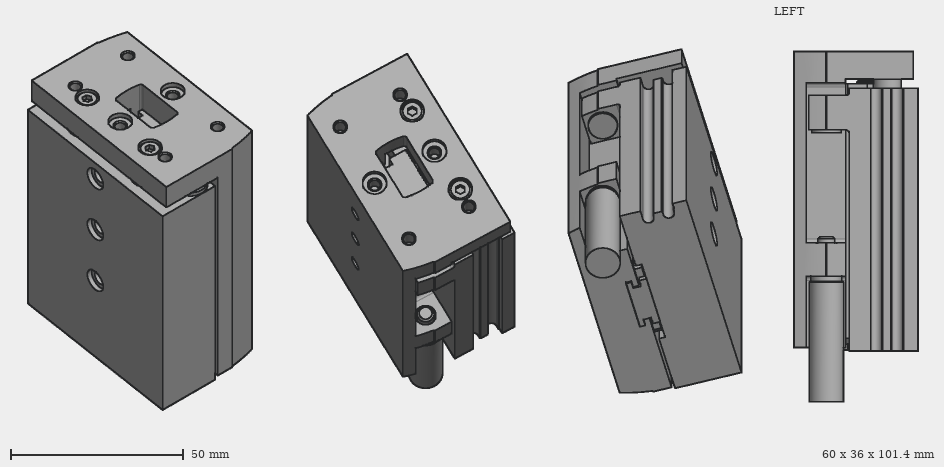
import cadquery as cq
import math

WIDTH = 60.0
HALF_WIDTH = WIDTH / 2
DEPTH = 36.0

HOUSING_HEIGHT = 76.0
HOUSING_DEPTH = 20.0
MOUNT_HOLE_PITCH = 20.0
MOUNT_HOLE_LOWEST = 29.9
MOUNT_HOLE_DIAMETER = 4.2
COUNTERBORE_DIAMETER = 7.0
COUNTERBORE_DEPTH = 1.6

GROOVE_RECESS_FRONT = 4.2
GROOVE_RECESS_BACK = 13.8
GROOVE_RECESS_DEPTH = 1.7
GROOVE_DIAMETER = 3.2
GROOVE_AXIS_DEPTH = 2.8
GROOVE_FRONT_STEP = 0.3
GROOVE_LAND_CHAMFER = 0.3

RAIL_HALF_WIDTH = 7.5
RAIL_FRONT = 14.8
RAIL_BACK = 24.3
RAIL_BOTTOM = 0.3
RAIL_TOP = HOUSING_HEIGHT + 1.3
RAIL_NOTCH_FRONT = 20.4
RAIL_NOTCH_BACK = 22.7
RAIL_NOTCH_HALF_WIDTH = 5.5
CHANNEL_HALF_WIDTH = 12.7
CHANNEL_FLOOR = 18.2

SLIDE_BOTTOM = 1.0
SLIDE_TOP = 86.7
SLIDE_FRONT = HOUSING_DEPTH + 1.0
PLATE_THICKNESS = 8.0
PLATE_FRONT = 1.4
PLATE_BOTTOM = SLIDE_TOP - PLATE_THICKNESS
SIDE_STEP_Y = 26.5
SIDE_STEP_RISE = 0.3
SIDE_STEP_WIDTH = 0.3
SIDE_BULGE_X = 28.9
SIDE_BULGE_Y = 31.7
BACK_HALF_WIDTH = 27.8

RIDGE_FRONT = 18.8
RIDGE_HALF_WIDTH = 12.2
RIDGE_BOTTOM = 2.0
RIDGE_CHAMFER = 1.6

WINDOW_FRONT = 14.5
WINDOW_BACK = 24.6
WINDOW_END_HALF_WIDTH = 8.2
WINDOW_MIDDLE_HALF_WIDTH = 8.8
WINDOW_FLOOR = 71.0
WINDOW_FILLET = 0.8

POCKET_INNER_X = -18.3
POCKET_BACK = 32.3
POCKET_TOP = 77.7
BLOCK_TOP = 31.3
BLOCK_BOTTOM = 21.7
POCKET_FILLET = 1.2

ARM_INNER_X = POCKET_INNER_X - 1.0
ARM_BACK = 31.6
ARM_BOTTOM = 64.0
ARM_TOP = 74.0
ARM_FILLET = 1.0
BUMPER_DIAMETER = 8.5
BUMPER_THICKNESS = 0.8

PLATE_HOLE_PITCH = 20.0
PLATE_HOLE_FRONT_Y = 9.5
PLATE_HOLE_DIAMETER = 3.2
PLATE_HOLE_CHAMFER = 0.4
PLATE_HOLE_DEPTH = 7.0

ROD_X = 14.0
ROD_Y = 8.9
ROD_DIAMETER = 8.1
ROD_BOTTOM = 25.4
ROD_MOUTH_DIAMETER = 12.0
ROD_MOUTH_DEPTH = 3.0
NECK_DIAMETER = 5.0
HEAD_DIAMETER = 6.7
HEAD_HEIGHT = 2.5
HEAD_CHAMFER = 0.6
HEAD_RECESS = 0.4
HEAD_POCKET_DIAMETER = 6.9
SOCKET_WIDTH = 2.5
SOCKET_DEPTH = 1.5

SHOCK_X = -24.5
SHOCK_Y = 26.6
SHOCK_BODY_DIAMETER = 10.0
SHOCK_BODY_CHAMFER = 0.3
SHOCK_BOTTOM = SLIDE_TOP - 101.4
SHOCK_BODY_TOP = 20.2
SHOCK_NECK_DIAMETER = 9.0
SHOCK_NECK_TOP = BLOCK_TOP - 3.0
PLUNGER_DIAMETER = 5.0
PLUNGER_HOLE_DIAMETER = 6.0
PLUNGER_CHAMFER = 0.6
PLUNGER_RISE = 1.7

STOP_X = 24.8
STOP_Y = 15.0
STOP_HEAD_DIAMETER = 10.0
STOP_HEAD_HEIGHT = 1.3
STOP_TIP_DIAMETER = 5.5
STOP_TIP_HEIGHT = 0.8
STOP_TIP_CHAMFER = 0.4
STOP_SHANK_DIAMETER = 6.0
STOP_SHANK_LENGTH = 10.1


def block(x_range, y_range, z_range):
    """Axis-aligned box between the given limits."""
    size = [high - low for low, high in (x_range, y_range, z_range)]
    return cq.Workplane("XY").box(*size, centered=False).translate((x_range[0], y_range[0], z_range[0]))


def upright_cylinder(x, y, diameter, bottom, top):
    """Cylinder along Z."""
    return cq.Workplane("XY", origin=(x, y, bottom)).circle(diameter / 2).extrude(top - bottom)


def slide_outline(front):
    """Plan outline with square front corners and curved, stepped rear sides."""
    shoulder = HALF_WIDTH - SIDE_STEP_WIDTH
    shoulder_y = SIDE_STEP_Y + SIDE_STEP_RISE
    return (
        cq.Workplane("XY")
        .moveTo(-HALF_WIDTH, front)
        .lineTo(HALF_WIDTH, front)
        .lineTo(HALF_WIDTH, SIDE_STEP_Y)
        .lineTo(shoulder, shoulder_y)
        .threePointArc((SIDE_BULGE_X, SIDE_BULGE_Y), (BACK_HALF_WIDTH, DEPTH))
        .lineTo(-BACK_HALF_WIDTH, DEPTH)
        .threePointArc((-SIDE_BULGE_X, SIDE_BULGE_Y), (-shoulder, shoulder_y))
        .lineTo(-HALF_WIDTH, SIDE_STEP_Y)
        .close()
    )


def rail_bar():
    """Guide rail with a square running groove along each side."""
    bar = block((-RAIL_HALF_WIDTH, RAIL_HALF_WIDTH), (RAIL_FRONT, RAIL_BACK), (RAIL_BOTTOM, RAIL_TOP))
    for inner, outer in (
        (RAIL_NOTCH_HALF_WIDTH, RAIL_HALF_WIDTH),
        (-RAIL_HALF_WIDTH, -RAIL_NOTCH_HALF_WIDTH),
    ):
        bar = bar.cut(block((inner, outer), (RAIL_NOTCH_FRONT, RAIL_NOTCH_BACK), (RAIL_BOTTOM, RAIL_TOP)))
    return bar


def mount_holes(counterbored):
    """Cutters for the row of holes through the whole part along Y."""
    cutters = cq.Workplane("XZ")
    for index in range(3):
        height = MOUNT_HOLE_LOWEST + index * MOUNT_HOLE_PITCH
        start = cq.Workplane("XZ", origin=(0, 0, height))
        cutters = cutters.add(start.circle(MOUNT_HOLE_DIAMETER / 2).extrude(-DEPTH))
        if counterbored:
            cutters = cutters.add(start.circle(COUNTERBORE_DIAMETER / 2).extrude(-COUNTERBORE_DEPTH))
    return cutters.combine()


def sensor_grooves():
    """Cutter for a shallow recess with two round-bottomed grooves, leaving a chamfered land between them."""
    side_x = -HALF_WIDTH
    recess_x = side_x + GROOVE_RECESS_DEPTH
    axis_x = side_x + GROOVE_AXIS_DEPTH
    radius = GROOVE_DIAMETER / 2
    floor_x = axis_x + radius
    chamfer_x = recess_x + GROOVE_LAND_CHAMFER
    front_groove = GROOVE_RECESS_FRONT + GROOVE_FRONT_STEP
    land_front = front_groove + GROOVE_DIAMETER
    land_back = GROOVE_RECESS_BACK - GROOVE_DIAMETER
    return (
        cq.Workplane("XY")
        .moveTo(side_x, GROOVE_RECESS_FRONT)
        .lineTo(recess_x, GROOVE_RECESS_FRONT)
        .lineTo(recess_x, front_groove)
        .lineTo(axis_x, front_groove)
        .threePointArc((floor_x, front_groove + radius), (axis_x, land_front))
        .lineTo(chamfer_x, land_front)
        .lineTo(recess_x, land_front + GROOVE_LAND_CHAMFER)
        .lineTo(recess_x, land_back - GROOVE_LAND_CHAMFER)
        .lineTo(chamfer_x, land_back)
        .lineTo(axis_x, land_back)
        .threePointArc((floor_x, land_back + radius), (axis_x, GROOVE_RECESS_BACK))
        .lineTo(side_x, GROOVE_RECESS_BACK)
        .close()
        .extrude(HOUSING_HEIGHT)
    )


def stop_arm():
    """Arm that follows the slide's side curve, with a round bumper below and filleted roots."""
    arm = slide_outline(HOUSING_DEPTH).extrude(ARM_TOP - ARM_BOTTOM).translate((0, 0, ARM_BOTTOM))
    arm = arm.intersect(
        block((-HALF_WIDTH, ARM_INNER_X), (HOUSING_DEPTH, ARM_BACK), (ARM_BOTTOM, ARM_TOP))
    )
    for level, direction in ((ARM_TOP, 1), (ARM_BOTTOM, -1)):
        root = (
            cq.Workplane("YZ", origin=(-HALF_WIDTH, 0, 0))
            .moveTo(HOUSING_DEPTH, level)
            .lineTo(HOUSING_DEPTH + ARM_FILLET, level)
            .radiusArc((HOUSING_DEPTH, level + direction * ARM_FILLET), direction * ARM_FILLET)
            .close()
            .extrude(HALF_WIDTH + ARM_INNER_X)
        )
        arm = arm.union(root)
    bumper = upright_cylinder(SHOCK_X, SHOCK_Y, BUMPER_DIAMETER, ARM_BOTTOM - BUMPER_THICKNESS, ARM_BOTTOM)
    return arm.union(bumper)


def make_housing():
    body = block((-HALF_WIDTH, HALF_WIDTH), (0, HOUSING_DEPTH), (0, HOUSING_HEIGHT))
    body = body.cut(
        block((-CHANNEL_HALF_WIDTH, CHANNEL_HALF_WIDTH), (CHANNEL_FLOOR, HOUSING_DEPTH), (0, HOUSING_HEIGHT))
    )
    body = body.union(rail_bar()).union(stop_arm()).cut(sensor_grooves())
    for side in (-1, 1):
        x = side * ROD_X
        mouth_bottom = HOUSING_HEIGHT - ROD_MOUTH_DEPTH
        body = body.cut(upright_cylinder(x, ROD_Y, ROD_DIAMETER, ROD_BOTTOM, HOUSING_HEIGHT))
        body = body.cut(upright_cylinder(x, ROD_Y, ROD_MOUTH_DIAMETER, mouth_bottom, HOUSING_HEIGHT))
    shank_bottom = HOUSING_HEIGHT - STOP_SHANK_LENGTH
    body = body.cut(upright_cylinder(STOP_X, STOP_Y, STOP_SHANK_DIAMETER, shank_bottom, HOUSING_HEIGHT))
    return body.cut(mount_holes(counterbored=True))


def slide_pockets():
    """Cutters for the two left-hand pockets, rounded where they meet the middle of the slide."""
    depth = (SLIDE_FRONT, POCKET_BACK)
    upper = block((-HALF_WIDTH, POCKET_INNER_X), depth, (BLOCK_TOP, POCKET_TOP))
    upper = upper.edges("|Y and >X").fillet(POCKET_FILLET)
    lower = block((-HALF_WIDTH, POCKET_INNER_X), depth, (SLIDE_BOTTOM, BLOCK_BOTTOM))
    lower = lower.edges("|Y and >X and >Z").fillet(POCKET_FILLET)
    return upper.union(lower)


def plate_window():
    """Cutter for the window with bulging sides and rounded corners."""
    middle_y = (WINDOW_FRONT + WINDOW_BACK) / 2
    end = WINDOW_END_HALF_WIDTH
    return (
        cq.Workplane("XY", origin=(0, 0, WINDOW_FLOOR))
        .moveTo(-end, WINDOW_FRONT)
        .lineTo(end, WINDOW_FRONT)
        .threePointArc((WINDOW_MIDDLE_HALF_WIDTH, middle_y), (end, WINDOW_BACK))
        .lineTo(-end, WINDOW_BACK)
        .threePointArc((-WINDOW_MIDDLE_HALF_WIDTH, middle_y), (-end, WINDOW_FRONT))
        .close()
        .extrude(SLIDE_TOP - WINDOW_FLOOR)
        .edges("|Z")
        .fillet(WINDOW_FILLET)
    )


def cut_plate_holes(body):
    """Two rows of three chamfered blind holes; the middle one of each row is counterbored."""
    for column in (-1, 0, 1):
        for row in (0, 1):
            x = column * PLATE_HOLE_PITCH
            y = PLATE_HOLE_FRONT_Y + row * PLATE_HOLE_PITCH
            mouth = SLIDE_TOP
            if column == 0:
                mouth = SLIDE_TOP - COUNTERBORE_DEPTH
                body = body.cut(upright_cylinder(x, y, COUNTERBORE_DIAMETER, mouth, SLIDE_TOP))
            body = body.cut(upright_cylinder(x, y, PLATE_HOLE_DIAMETER, SLIDE_TOP - PLATE_HOLE_DEPTH, mouth))
            cone = cq.Solid.makeCone(
                PLATE_HOLE_DIAMETER / 2,
                PLATE_HOLE_DIAMETER / 2 + PLATE_HOLE_CHAMFER,
                PLATE_HOLE_CHAMFER,
                pnt=cq.Vector(x, y, mouth - PLATE_HOLE_CHAMFER),
            )
            body = body.cut(cq.Workplane(cone))
    return body


def make_slide():
    slab = slide_outline(SLIDE_FRONT).extrude(SLIDE_TOP - SLIDE_BOTTOM).translate((0, 0, SLIDE_BOTTOM))
    plate = slide_outline(PLATE_FRONT).extrude(PLATE_THICKNESS).translate((0, 0, PLATE_BOTTOM))
    ridge = block(
        (-RIDGE_HALF_WIDTH, RIDGE_HALF_WIDTH),
        (RIDGE_FRONT, SLIDE_FRONT),
        (RIDGE_BOTTOM, WINDOW_FLOOR),
    )
    ridge = ridge.edges("|Y and <Z").chamfer(RIDGE_CHAMFER)
    body = slab.union(plate).union(ridge)
    body = body.cut(slide_pockets()).cut(plate_window()).cut(rail_bar())
    body = body.cut(upright_cylinder(SHOCK_X, SHOCK_Y, SHOCK_NECK_DIAMETER, BLOCK_BOTTOM, SHOCK_NECK_TOP))
    body = body.cut(upright_cylinder(SHOCK_X, SHOCK_Y, PLUNGER_HOLE_DIAMETER, SHOCK_NECK_TOP, BLOCK_TOP))
    head_seat = SLIDE_TOP - HEAD_RECESS - HEAD_HEIGHT
    for side in (-1, 1):
        x = side * ROD_X
        body = body.cut(upright_cylinder(x, ROD_Y, NECK_DIAMETER, PLATE_BOTTOM, head_seat))
        body = body.cut(upright_cylinder(x, ROD_Y, HEAD_POCKET_DIAMETER, head_seat, SLIDE_TOP))
    return cut_plate_holes(body).cut(mount_holes(counterbored=False))


def make_piston_rod(x):
    """Rod with a neck through the end plate and a hexagon-socket head in it."""
    head_top = SLIDE_TOP - HEAD_RECESS
    head_seat = head_top - HEAD_HEIGHT
    rod = upright_cylinder(x, ROD_Y, ROD_DIAMETER, ROD_BOTTOM, PLATE_BOTTOM)
    neck = upright_cylinder(x, ROD_Y, NECK_DIAMETER, PLATE_BOTTOM, head_seat)
    head = upright_cylinder(x, ROD_Y, HEAD_DIAMETER, head_seat, head_top)
    head = head.faces(">Z").chamfer(HEAD_CHAMFER)
    socket = (
        cq.Workplane("XY", origin=(x, ROD_Y, head_top))
        .polygon(6, SOCKET_WIDTH / math.cos(math.pi / 6))
        .extrude(-SOCKET_DEPTH)
        .rotate((x, ROD_Y, 0), (x, ROD_Y, 1), 30)
    )
    return rod.union(neck).union(head).cut(socket)


def make_shock_absorber():
    """Cylinder hanging below the block, with its plunger standing out of the block's top."""
    body = upright_cylinder(SHOCK_X, SHOCK_Y, SHOCK_BODY_DIAMETER, SHOCK_BOTTOM, SHOCK_BODY_TOP)
    body = body.faces(">Z").chamfer(SHOCK_BODY_CHAMFER)
    neck = upright_cylinder(SHOCK_X, SHOCK_Y, SHOCK_NECK_DIAMETER, SHOCK_BODY_TOP, SHOCK_NECK_TOP)
    plunger = upright_cylinder(SHOCK_X, SHOCK_Y, PLUNGER_DIAMETER, SHOCK_NECK_TOP, BLOCK_TOP + PLUNGER_RISE)
    return body.union(neck).union(plunger.faces(">Z").chamfer(PLUNGER_CHAMFER))


def make_stop_screw():
    """Round-headed screw in the housing's upper end, with a chamfered tip on the head."""
    head_top = HOUSING_HEIGHT + STOP_HEAD_HEIGHT
    shank = upright_cylinder(
        STOP_X, STOP_Y, STOP_SHANK_DIAMETER, HOUSING_HEIGHT - STOP_SHANK_LENGTH, HOUSING_HEIGHT
    )
    head = upright_cylinder(STOP_X, STOP_Y, STOP_HEAD_DIAMETER, HOUSING_HEIGHT, head_top)
    tip = upright_cylinder(STOP_X, STOP_Y, STOP_TIP_DIAMETER, head_top, head_top + STOP_TIP_HEIGHT)
    return shank.union(head).union(tip.faces(">Z").chamfer(STOP_TIP_CHAMFER))


housing = make_housing()
slide = make_slide()
piston_rods = [make_piston_rod(side * ROD_X) for side in (-1, 1)]
shock_absorber = make_shock_absorber()
stop_screw = make_stop_screw()

result = cq.Compound.makeCompound(
    [
        housing.val(),
        slide.val(),
        *[rod.val() for rod in piston_rods],
        shock_absorber.val(),
        stop_screw.val(),
    ]
)